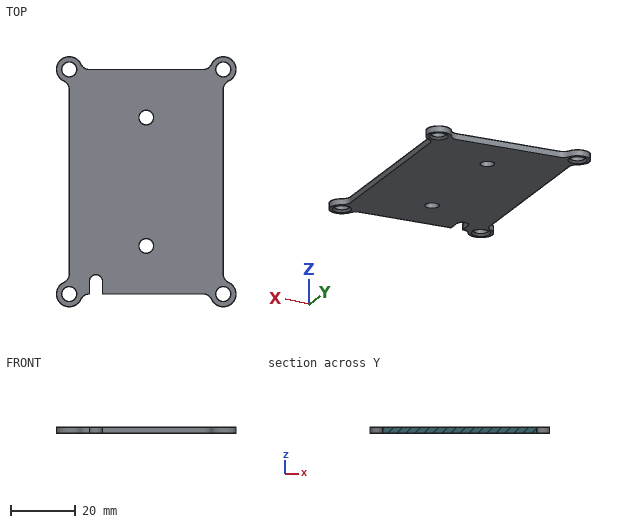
import cadquery as cq
import math

PLATE_WIDTH = 48.0
PLATE_LENGTH = 70.0
THICKNESS = 2.0

LUG_RADIUS = 4.0
LUG_HOLE_DIAMETER = 4.6
LUG_HOLE_CHAMFER = 0.7
LUG_FILLET_RADIUS = 3.0

CENTRE_HOLE_DIAMETER = 4.5
CENTRE_HOLE_SPACING = 40.0

SLOT_WIDTH = 4.0
SLOT_DEPTH = 6.0

FILLET_REACH = math.sqrt((LUG_RADIUS + LUG_FILLET_RADIUS) ** 2 - LUG_FILLET_RADIUS**2)
SLOT_CENTRE_X = -PLATE_WIDTH / 2 + FILLET_REACH + SLOT_WIDTH / 2

CORNERS = [
    (side_x * PLATE_WIDTH / 2, side_y * PLATE_LENGTH / 2)
    for side_x in (-1, 1)
    for side_y in (-1, 1)
]

CENTRE_HOLES = [(0, side_y * CENTRE_HOLE_SPACING / 2) for side_y in (-1, 1)]


def make_plate_with_lugs():
    """Rectangular plate with a lug on each corner, blended into the edges."""
    plate = cq.Workplane("XY").rect(PLATE_WIDTH, PLATE_LENGTH).extrude(THICKNESS)
    lugs = cq.Workplane("XY").pushPoints(CORNERS).circle(LUG_RADIUS).extrude(THICKNESS)
    body = plate.union(lugs)
    for x, y in CORNERS:
        along_x = (x - math.copysign(LUG_RADIUS, x), y, THICKNESS / 2)
        along_y = (x, y - math.copysign(LUG_RADIUS, y), THICKNESS / 2)
        for point in (along_x, along_y):
            nearest_edge = cq.selectors.NearestToPointSelector(point)
            body = body.edges("|Z").edges(nearest_edge).fillet(LUG_FILLET_RADIUS)
    return body


def make_holes(points, diameter):
    """Cylinders that cut holes through the plate."""
    return cq.Workplane("XY").pushPoints(points).circle(diameter / 2).extrude(THICKNESS)


def make_lug_hole_chamfers():
    """45 degree cones that widen the lug holes towards the underside."""
    hole_radius = LUG_HOLE_DIAMETER / 2
    cone = cq.Solid.makeCone(hole_radius + LUG_HOLE_CHAMFER, hole_radius, LUG_HOLE_CHAMFER)
    return cq.Workplane("XY").pushPoints(CORNERS).eachpoint(cone)


def make_slot():
    """Slot cutter: straight walls from the -Y edge, ending in a half circle."""
    radius = SLOT_WIDTH / 2
    edge_y = -PLATE_LENGTH / 2
    end_y = edge_y + SLOT_DEPTH
    arc_start_y = end_y - radius
    left_x = SLOT_CENTRE_X - radius
    right_x = SLOT_CENTRE_X + radius
    return (
        cq.Workplane("XY")
        .moveTo(left_x, edge_y)
        .lineTo(left_x, arc_start_y)
        .threePointArc((SLOT_CENTRE_X, end_y), (right_x, arc_start_y))
        .lineTo(right_x, edge_y)
        .close()
        .extrude(THICKNESS)
    )


result = (
    make_plate_with_lugs()
    .cut(make_holes(CORNERS, LUG_HOLE_DIAMETER))
    .cut(make_lug_hole_chamfers())
    .cut(make_holes(CENTRE_HOLES, CENTRE_HOLE_DIAMETER))
    .cut(make_slot())
)